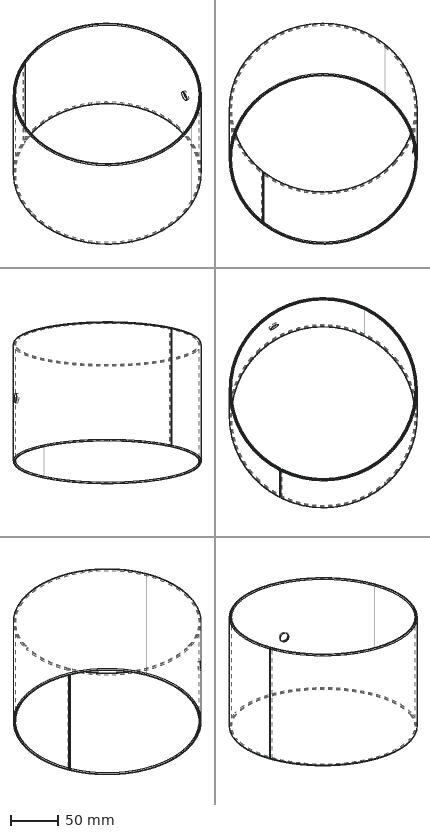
import cadquery as cq
import math

outer_diameter = 200.0
height = 130.0
wall = 2.5

chamfer_width = 0.8
chamfer_height = 1.5

slit_width = 1.5

hole_diameter = 10.0
hole_angle = 59.0

outer_radius = outer_diameter / 2
inner_radius = outer_radius - wall


def make_sleeve():
    """Ring revolved from the wall section, whose four corners are chamfered."""
    section = [
        (inner_radius + chamfer_width, 0),
        (outer_radius - chamfer_width, 0),
        (outer_radius, chamfer_height),
        (outer_radius, height - chamfer_height),
        (outer_radius - chamfer_width, height),
        (inner_radius + chamfer_width, height),
        (inner_radius, height - chamfer_height),
        (inner_radius, chamfer_height),
    ]
    return cq.Workplane("XZ").polyline(section).close().revolve(360, (0, 0), (0, 1))


def make_slit():
    """Cutter that opens the wall along its whole height."""
    slit = cq.Workplane("XY").box(outer_radius, slit_width, height, centered=False)
    return slit.translate((-outer_radius, 0, 0))


def make_hole():
    """Radial cutter from the axis out through one side of the wall."""
    angle = math.radians(hole_angle)
    direction = cq.Vector(math.cos(angle), math.sin(angle), 0)
    start = cq.Vector(0, 0, height / 2)
    return cq.Workplane(cq.Solid.makeCylinder(hole_diameter / 2, outer_diameter, start, direction))


result = make_sleeve().cut(make_slit()).cut(make_hole())